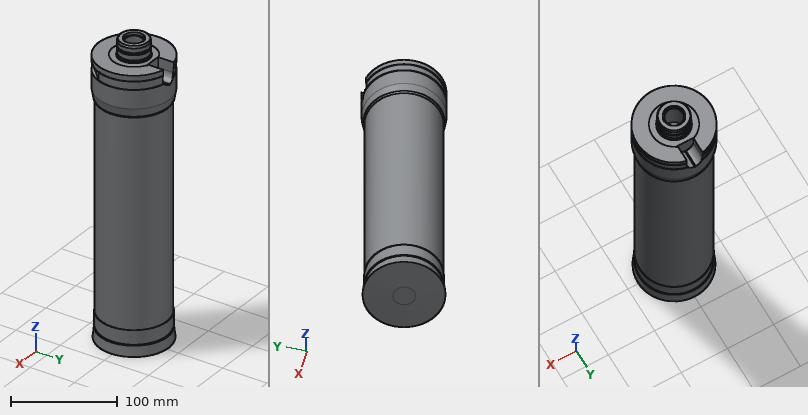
import cadquery as cq

height = 325.0
cap_top = 307.0
groove_top = 300.5
groove_bottom = 291.5
shoulder_top = 271.5
shoulder_bottom = 262.0
tube_top = 260.0
sleeve_top = 30.0
seam_height = 13.5
foot_height = 1.5

cap_diameter = 80.0
groove_diameter = 78.5
shoulder_diameter = 76.7
tube_diameter = 74.0
sleeve_diameter = 75.0
foot_top_diameter = 75.5
foot_diameter = 78.0
bottom_tip_diameter = 21.0
seam_depth = 0.5
seam_width = 1.0

flat_distance = 36.5
flat_angle = -45.0
slot_width = 17.0
floor_groove_width = 1.0
floor_groove_depth = 1.0
slot_center_height = (groove_top + groove_bottom) / 2

disc_diameter = 47.0
key_distance = 21.5
slot_bottom = slot_center_height - slot_width / 2
disc_bottom = slot_bottom
neck_diameter = 32.2
neck_chamfer_width = 1.0
neck_chamfer_height = 2.3
collar_height = 2.5
collar_diameter = 32.0
root_diameter = 33.8
root_height = 1.0
ring_groove_diameter = 30.0
ring_groove_top = 317.5
ring_groove_bottom = 315.2
mouth_diameter = 21.0
mouth_depth = 3.0
bore_diameter = 18.0
bore_depth = 32.5
bore_tip_depth = 5.2


def revolve_profile(points):
    """Turn (diameter, height) points into a solid of revolution about Z."""
    outline = [(diameter / 2, z) for diameter, z in points]
    return cq.Workplane("XZ").polyline(outline).close().revolve(360, (0, 0), (0, 1))


def keyed_disc():
    """Round disc with one flat facing +Y, standing from its base to the cap top."""
    thickness = cap_top - disc_bottom
    disc = cq.Workplane("XY").workplane(offset=disc_bottom).circle(disc_diameter / 2).extrude(thickness)
    beyond_key = (
        cq.Workplane("XY")
        .workplane(offset=disc_bottom)
        .center(0, key_distance + disc_diameter / 2)
        .rect(disc_diameter, disc_diameter)
        .extrude(thickness)
    )
    return disc.cut(beyond_key)


def radial_slot():
    """Round-bottomed slot from the disc flat out through the +Y rim."""
    plane = cq.Workplane("XZ", origin=(0, key_distance, 0))
    half = slot_width / 2
    return (
        plane.moveTo(-half, height)
        .lineTo(-half, slot_center_height)
        .threePointArc((0, slot_bottom), (half, slot_center_height))
        .lineTo(half, height)
        .close()
        .extrude(-cap_diameter)
    )


def slot_floor_groove():
    """Narrow groove along the lowest line of the slot floor."""
    return (
        cq.Workplane("XZ", origin=(0, key_distance, slot_bottom))
        .rect(floor_groove_width, 2 * floor_groove_depth)
        .extrude(-cap_diameter)
    )


def side_flat():
    """Block whose inner face cuts the flat into the cap groove."""
    return (
        cq.Workplane("XY")
        .workplane(offset=groove_bottom)
        .center(flat_distance + cap_diameter / 2, 0)
        .rect(cap_diameter, cap_diameter)
        .extrude(groove_top - groove_bottom)
        .rotate((0, 0, 0), (0, 0, 1), flat_angle)
    )


def make_housing():
    seam_diameter = sleeve_diameter - 2 * seam_depth
    body = revolve_profile([
        (0, 0),
        (bottom_tip_diameter, 0),
        (foot_diameter, foot_height),
        (foot_top_diameter, seam_height - seam_width / 2),
        (seam_diameter, seam_height - seam_width / 2),
        (seam_diameter, seam_height + seam_width / 2),
        (sleeve_diameter, seam_height + seam_width / 2),
        (sleeve_diameter, sleeve_top),
        (tube_diameter, sleeve_top),
        (tube_diameter, tube_top),
        (shoulder_diameter, shoulder_bottom),
        (cap_diameter, shoulder_top),
        (cap_diameter, groove_bottom),
        (groove_diameter, groove_bottom),
        (groove_diameter, groove_top),
        (cap_diameter, groove_top),
        (cap_diameter, cap_top),
        (0, cap_top),
    ])
    slot = radial_slot().union(slot_floor_groove())
    return body.cut(side_flat()).cut(slot).cut(keyed_disc())


def make_connector():
    neck = revolve_profile([
        (0, cap_top),
        (root_diameter, cap_top),
        (collar_diameter, cap_top + root_height),
        (collar_diameter, cap_top + collar_height),
        (neck_diameter, cap_top + collar_height),
        (neck_diameter, ring_groove_bottom),
        (ring_groove_diameter, ring_groove_bottom),
        (ring_groove_diameter, ring_groove_top),
        (neck_diameter, ring_groove_top),
        (neck_diameter, height - neck_chamfer_height),
        (neck_diameter - 2 * neck_chamfer_width, height),
        (0, height),
    ])
    bore = revolve_profile([
        (0, height),
        (mouth_diameter, height),
        (mouth_diameter, height - mouth_depth),
        (bore_diameter, height - mouth_depth),
        (bore_diameter, height - bore_depth),
        (0, height - bore_depth - bore_tip_depth),
    ])
    return keyed_disc().union(neck).cut(bore)


housing = make_housing()
connector = make_connector()

result = cq.Compound.makeCompound([housing.val(), connector.val()])